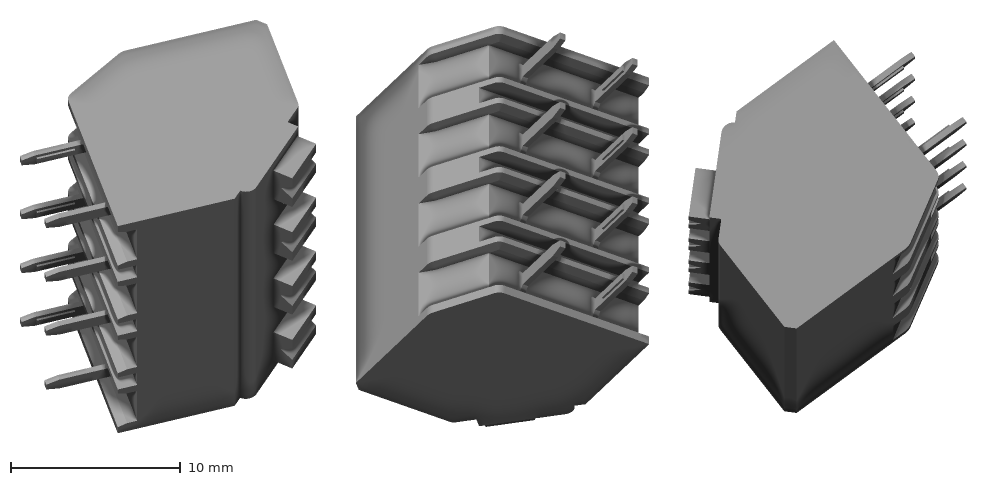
import cadquery as cq
import math


pole_count = 4
pole_pitch = 5.0
end_margin = 2.11
block_length = (pole_count - 1) * pole_pitch + 2 * end_margin
pole_centers = [end_margin + i * pole_pitch for i in range(pole_count)]

width = 12.7
height = 12.9
corner_chamfer = 0.52
foot_slope_height = 4.09
foot_slope_angle = 60.0
foot_slope_width = foot_slope_height / math.tan(math.radians(foot_slope_angle))
slope_side_radius = 0.96
slope_foot_radius = 0.6
lever_slope_width = 5.7
lever_slope_x = width - lever_slope_width
lever_slope_radius = 0.5

step_offset = 1.02
step_length = 5.93
step_height = 0.71

lever_inset = 0.1
lever_length = 3.0
lever_height = 1.25
lever_width = 2.65
groove_width = 1.05
groove_depth = 0.75

pocket_depth = 1.2
pocket_floor_width = 2.76
mouth_bevel_depth = 0.58
mouth_bevel_width = 0.17
slot_width = 1.11

first_pin_x = 4.59
pin_spacing = 5.0
pin_thickness = 0.36
pin_width = 0.8
pin_drop = 3.51
pin_neck_width = 1.5
pin_neck_straight = 0.13
pin_neck_taper = (pin_neck_width - pin_width) / 2
pin_tip_width = 0.45
pin_tip_length = 0.8
bead_width = 0.38
bead_height = 0.13
bead_top = -0.25
bead_bottom = -2.6


def housing_prism(z_bottom, length):
    """Full housing outline extruded along Z, with its rounded corners."""
    prism = (
        cq.Workplane("XY", origin=(0, 0, z_bottom))
        .moveTo(foot_slope_width, 0)
        .lineTo(width, 0)
        .lineTo(width, height - lever_slope_width)
        .lineTo(lever_slope_x, height)
        .lineTo(corner_chamfer, height)
        .lineTo(0, height - corner_chamfer)
        .lineTo(0, foot_slope_height)
        .close()
        .extrude(length)
    )

    def round_corner(solid, x, y, radius):
        nearest = cq.selectors.NearestToPointSelector((x, y, z_bottom + length / 2))
        return solid.edges("|Z").edges(nearest).fillet(radius)

    prism = round_corner(prism, foot_slope_width, 0, slope_foot_radius)
    prism = round_corner(prism, 0, foot_slope_height, slope_side_radius)
    return round_corner(prism, lever_slope_x, height, lever_slope_radius)


def pocket_zone():
    """Region outside the pocket floors, over the whole length of the block."""
    floor_left_y = pocket_depth + foot_slope_height
    return (
        cq.Workplane("XY")
        .polyline([(0, 0), (width, 0), (width, pocket_depth),
                   (foot_slope_width, pocket_depth), (0, floor_left_y)])
        .close()
        .extrude(block_length)
    )


def pocket_side(thickness):
    """Wall ending at Z = 0, its upper rim bevelled where it borders a pocket."""
    clearance = 0.2
    rim = cq.selectors.BoxSelector(
        (-clearance, -clearance, -clearance),
        (width - clearance, foot_slope_height + slope_side_radius, clearance))
    body = housing_prism(-thickness, thickness)
    return body.faces(">Z").edges(rim).chamfer(mouth_bevel_width, mouth_bevel_depth)


def slope_plane(z):
    """Plane with its x axis down the 45 degree slope and its y axis out of it."""
    origin = (lever_slope_x + step_offset, height - step_offset, z)
    return cq.Plane(origin=origin, xDir=(1, -1, 0), normal=(0, 0, 1))


def step():
    """Raised step on the 45 degree slope, rounded off at its lower end."""
    arc_start = step_length - step_height
    arc_offset = step_height * math.sqrt(0.5)
    return (
        cq.Workplane(slope_plane(0))
        .lineTo(0, step_height)
        .lineTo(arc_start, step_height)
        .threePointArc((arc_start + arc_offset, arc_offset), (step_length, 0))
        .close()
        .extrude(block_length)
    )


def lever(z_center):
    """Rectangular lever with a V groove running down its outer face."""
    top = step_height + lever_height
    block = (
        cq.Workplane(slope_plane(z_center))
        .moveTo(lever_inset + lever_length / 2, step_height + lever_height / 2)
        .rect(lever_length, lever_height)
        .extrude(lever_width / 2, both=True)
    )
    groove_start = slope_plane(z_center).toWorldCoords((lever_inset, top))
    end_plane = cq.Plane(origin=groove_start, xDir=(0, 0, 1), normal=(1, -1, 0))
    groove = (
        cq.Workplane(end_plane)
        .polyline([(-groove_width / 2, 0), (groove_width / 2, 0), (0, groove_depth)])
        .close()
        .extrude(lever_length)
    )
    return block.cut(groove)


def pin(x_center, z_center, bead_side):
    """Flat pin with a tapered neck and tip; bead_side is the X direction of its bead."""
    neck_bottom = pocket_depth - pin_neck_straight
    half_outline = [
        (pocket_depth, pin_neck_width / 2),
        (neck_bottom, pin_neck_width / 2),
        (neck_bottom - pin_neck_taper, pin_width / 2),
        (pin_tip_length - pin_drop, pin_width / 2),
        (-pin_drop, pin_tip_width / 2),
    ]
    mirrored = [(y, -z) for y, z in reversed(half_outline)]
    blade = (
        cq.Workplane("YZ", origin=(x_center, 0, z_center))
        .polyline(half_outline + mirrored)
        .close()
        .extrude(pin_thickness / 2, both=True)
    )
    bead_reach = pin_thickness / 2 + bead_height
    bead = cq.Workplane("XY").box(bead_reach, bead_top - bead_bottom, bead_width).translate(
        (x_center + bead_side * bead_reach / 2, (bead_top + bead_bottom) / 2, z_center))
    return blade.union(bead)


result = housing_prism(0, block_length).cut(pocket_zone()).union(step())

half_floor = pocket_floor_width / 2
for z in pole_centers:
    thickness_below = min(z, pole_pitch / 2) - half_floor
    thickness_above = min(block_length - z, pole_pitch / 2) - half_floor
    side_below = pocket_side(thickness_below).translate((0, 0, z - half_floor))
    side_above = pocket_side(thickness_above).mirror("XY").translate((0, 0, z + half_floor))
    result = result.union(side_below).union(side_above)

for z in pole_centers[:-1]:
    slot = cq.Workplane("XY").box(width, pocket_depth, slot_width, centered=(False, False, True))
    result = result.cut(slot.translate((0, 0, z + pole_pitch / 2)))

for z in pole_centers:
    result = result.union(lever(z))
    result = result.union(pin(first_pin_x, z, 1))
    result = result.union(pin(first_pin_x + pin_spacing, z, -1))